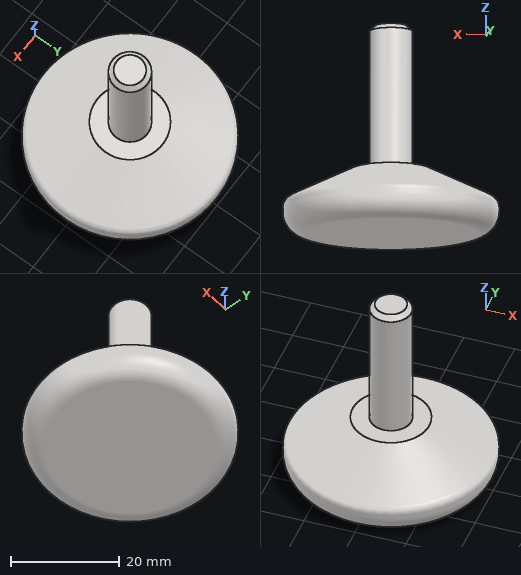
import cadquery as cq

foot_diameter = 40.0
foot_height = 12.0
foot_top_diameter = 15.0
cone_base_height = 6.0
bottom_edge_radius = 4.0
rim_edge_radius = 1.5

stud_diameter = 8.0
overall_height = 39.0
stud_tip_chamfer = 1.0


def make_foot():
    """Revolve the foot and round its bottom edge and the rim below the cone."""
    foot_radius = foot_diameter / 2
    foot = (
        cq.Workplane("XZ")
        .lineTo(foot_radius, 0)
        .lineTo(foot_radius, cone_base_height)
        .lineTo(foot_top_diameter / 2, foot_height)
        .lineTo(0, foot_height)
        .close()
        .revolve(360, (0, 0), (0, 1))
    )
    foot = foot.faces("<Z").edges().fillet(bottom_edge_radius)
    rim_box = cq.selectors.BoxSelector(
        (-foot_radius, -foot_radius, cone_base_height - rim_edge_radius / 2),
        (foot_radius, foot_radius, cone_base_height + rim_edge_radius / 2),
    )
    return foot.edges("%CIRCLE").edges(rim_box).fillet(rim_edge_radius)


def make_stud():
    """Cylinder from the foot's flat top to the overall height, with a chamfered tip."""
    return (
        cq.Workplane("XY", origin=(0, 0, foot_height))
        .circle(stud_diameter / 2)
        .extrude(overall_height - foot_height)
        .faces(">Z")
        .edges()
        .chamfer(stud_tip_chamfer)
    )


result = make_foot().union(make_stud())